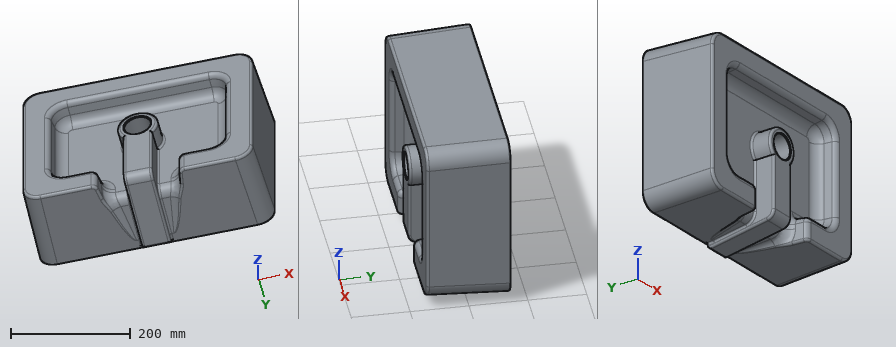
import cadquery as cq
import math


WIDTH = 404.8
HEIGHT = 300.0
DEPTH = 143.0
BODY_DRAFT = 2.0
BODY_CORNER_R = 30.0
FRONT_EDGE_R = 5.0
BACK_EDGE_R = 3.0

RECESS_HALF_WIDTH = 151.8
RECESS_HALF_HEIGHT = 100.5
RECESS_CORNER_R = 30.0
RECESS_DEPTH = 40.0
RECESS_DRAFT = 9.0
RECESS_FLOOR_R = 20.0
RECESS_RIM_R = 10.0
NOTCH_HALF_WIDTH = 71.2
NOTCH_CORNER_R = 10.0

UNDERSIDE_SLOPE = 8.8
FLOOR_END_Z = -119.5
FLOOR_END_R = 20.0

BOSS_R = 34.5
BORE_R = 22.5
BORE_CHAMFER = 1.5
CHAMFER_ANGLE = 45.0
SPOUT_HALF_WIDTH = 24.5
SPOUT_EDGE_R = 4.5
SPOUT_END_Z = -123.5
SPOUT_END_R = 18.0
SPOUT_BACK_GAP = 5.5
BASE_R = 3.5

DRAIN_R = 10.0
DRAIN_EDGE_R = 1.5
DRAIN_Y = 22.0
DRAIN_DEPTH = 64.8

CLEARANCE = 40.5
SELECT_GAP = 0.5

RIM_BOX = cq.selectors.BoxSelector(
    (-WIDTH / 2, -SELECT_GAP, -HEIGHT / 2),
    (WIDTH / 2, SELECT_GAP, HEIGHT / 2),
)


def front_plane():
    """Sketch plane on the front face whose extrusions run towards the back."""
    return cq.Workplane(cq.Plane(origin=(0, 0, 0), xDir=(-1, 0, 0), normal=(0, 1, 0)))


def rolled_profile(front_y, bend_z, bend_r, end_y):
    """Open YZ outline: down a vertical face, round a bend, then back along the sloped underside."""
    slope = math.radians(UNDERSIDE_SLOPE)
    middle = (math.pi / 2 - slope) / 2

    def on_bend(angle):
        return (front_y + bend_r * (1 - math.cos(angle)), bend_z - bend_r * math.sin(angle))

    bend_end = on_bend(2 * middle)
    end_z = bend_end[1] - (end_y - bend_end[0]) * math.tan(slope)
    return (
        cq.Workplane("YZ")
        .moveTo(front_y, 0)
        .lineTo(front_y, bend_z)
        .threePointArc(on_bend(middle), bend_end)
        .lineTo(end_y, end_z)
    )


def make_outside():
    """Drafted outer shape of the body, before the recess."""
    rim_loss = BACK_EDGE_R * (1 / math.tan(math.radians(90 - BODY_DRAFT) / 2) - 1)
    return (
        cq.Workplane("XZ", origin=(0, DEPTH, 0))
        .rect(WIDTH + 2 * rim_loss, HEIGHT + 2 * rim_loss)
        .extrude(DEPTH, taper=BODY_DRAFT)
        .edges("not(#Y)").edges("not(|X or |Z)")
        .fillet(BODY_CORNER_R)
        .faces(">Y").edges().fillet(BACK_EDGE_R)
    )


def recess_outline():
    """Closed recess outline on the front face, starting at the top left corner."""
    w, h, r = RECESS_HALF_WIDTH, RECESS_HALF_HEIGHT, RECESS_CORNER_R
    n, c = NOTCH_HALF_WIDTH, NOTCH_CORNER_R
    bottom = -HEIGHT / 2 - CLEARANCE
    return (
        front_plane()
        .moveTo(-w + r, h)
        .lineTo(w - r, h)
        .radiusArc((w, h - r), r)
        .lineTo(w, -h + r)
        .radiusArc((w - r, -h), r)
        .lineTo(n + c, -h)
        .radiusArc((n, -h - c), -c)
        .lineTo(n, bottom)
        .lineTo(-n, bottom)
        .lineTo(-n, -h - c)
        .radiusArc((-n - c, -h), -c)
        .lineTo(-w + r, -h)
        .radiusArc((-w, -h + r), r)
        .lineTo(-w, h - r)
        .radiusArc((-w + r, h), r)
        .close()
    )


def make_recess():
    """Solid filling the recess: tapered walls, a floor that bends back at the bottom, rounded between."""
    walls = recess_outline().extrude(DEPTH, taper=RECESS_DRAFT)
    floor_bound = (
        rolled_profile(RECESS_DEPTH, FLOOR_END_Z, FLOOR_END_R, DEPTH + CLEARANCE)
        .lineTo(DEPTH + CLEARANCE, -HEIGHT)
        .lineTo(-CLEARANCE, -HEIGHT)
        .lineTo(-CLEARANCE, HEIGHT)
        .lineTo(RECESS_DEPTH, HEIGHT)
        .close()
        .extrude(WIDTH / 2, both=True)
    )
    recess = walls.intersect(floor_bound)
    floor = recess.faces(cq.selectors.NearestToPointSelector((0, RECESS_DEPTH, 0)))
    return floor.edges(">Z").fillet(RECESS_FLOOR_R)


def make_recessed_block():
    """Oversized block with the rounded recess; the body is its overlap with the drafted outside."""
    block = cq.Workplane("XY").box(2 * WIDTH, DEPTH, HEIGHT + CLEARANCE).translate((0, DEPTH / 2, 0))
    recessed = block.cut(make_recess())
    rim = recessed.faces("<Y").edges(RIM_BOX)
    return rim.fillet(RECESS_RIM_R)


def make_body():
    """Recessed body with its front outline rounded."""
    body = make_outside().intersect(make_recessed_block())
    return body.faces("<Y").edges(">Z").fillet(FRONT_EDGE_R)


def make_spout():
    """Boss and spout joined, with rounded outer edges; both are rooted inside the body."""
    back_y = DEPTH - SPOUT_BACK_GAP
    bar = (
        rolled_profile(0, SPOUT_END_Z, SPOUT_END_R, back_y)
        .lineTo(back_y, 0)
        .close()
        .extrude(SPOUT_HALF_WIDTH, both=True)
    )
    boss = front_plane().circle(BOSS_R).extrude((RECESS_DEPTH + DEPTH) / 2)
    spout = bar.union(boss)
    front_outline = spout.faces("<Y").edges("not <Z")
    tail_edge = spout.faces(">Y").edges("<Z")
    return front_outline.add(tail_edge).fillet(SPOUT_EDGE_R)


def round_base(part):
    """Round the inner corner where the boss and spout meet the recess, down to the end of the spout."""
    base_region = cq.selectors.BoxSelector(
        (-BOSS_R, RECESS_DEPTH - SELECT_GAP, FLOOR_END_Z + SELECT_GAP),
        (BOSS_R, RECESS_DEPTH + SELECT_GAP, BOSS_R),
    )
    return part.edges(base_region).fillet(BASE_R)


def make_bore():
    """Solid filling the bore and its drain hole, flared at the bore mouth and where the two meet."""
    bore = front_plane().circle(BORE_R).extrude(DEPTH)
    mouth = front_plane().circle(BORE_R + BORE_CHAMFER).extrude(BORE_CHAMFER, taper=CHAMFER_ANGLE)
    drain = cq.Workplane("XY", origin=(0, DRAIN_Y, 0)).circle(DRAIN_R).extrude(-DRAIN_DEPTH)
    meeting_region = cq.selectors.BoxSelector(
        (-DRAIN_R, DRAIN_Y - DRAIN_R, -BORE_R),
        (DRAIN_R, DRAIN_Y + DRAIN_R, -BORE_R / 2),
    )
    drained_bore = bore.union(drain).edges(meeting_region).fillet(DRAIN_EDGE_R)
    return drained_bore.union(mouth)


result = round_base(make_body().union(make_spout())).cut(make_bore())